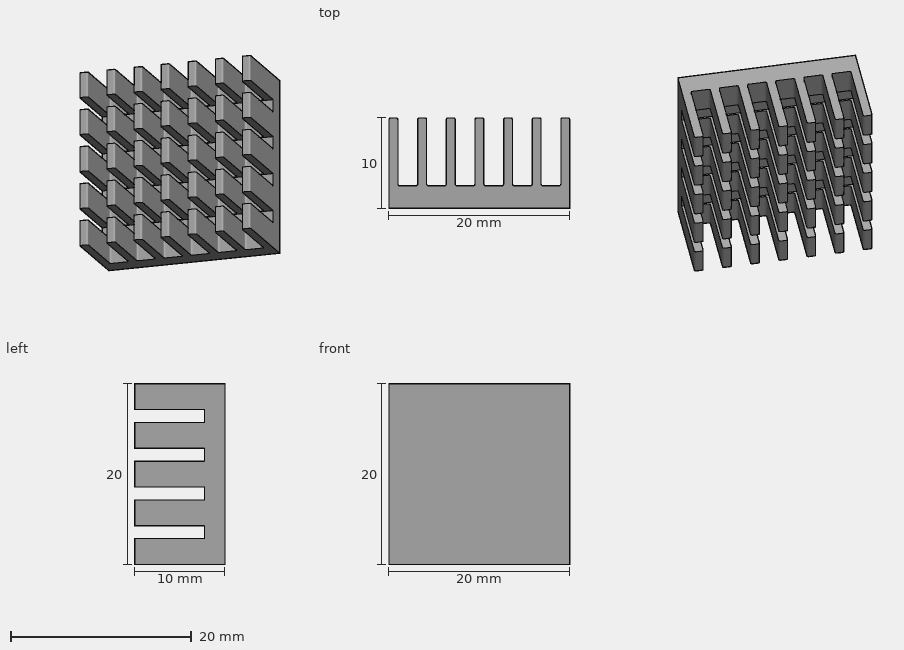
import cadquery as cq

width = 20.0
depth = 10.0
height = 20.0

fin_count = 7
fin_thickness = 1.0
base_thickness = 2.5
tip_radius = 0.2
root_radius = 0.2
fin_pitch = (width - fin_thickness) / (fin_count - 1)
fin_gap = fin_pitch - fin_thickness

row_count = 5
crosscut_floor = 2.3
cut_count = row_count - 1
cut_height = 1.4
row_height = (height - cut_count * cut_height) / row_count
row_pitch = row_height + cut_height


def corner_box(size_x, size_y, size_z):
    """Box with its minimum corner at the origin."""
    return cq.Workplane("XY").box(size_x, size_y, size_z, centered=False)


def finned_block():
    """Block with full-height grooves, leaving fins with rounded roots and tips."""
    block = corner_box(width, depth, height)
    groove = corner_box(fin_gap, depth - base_thickness, height)
    groove = groove.edges("|Z and <Y").fillet(root_radius)
    for index in range(fin_count - 1):
        groove_start = fin_thickness + index * fin_pitch
        block = block.cut(groove.translate((groove_start, base_thickness, 0)))
    return block.faces(">Y").edges("|Z").fillet(tip_radius)


def cut_rows(block):
    """Cut across all fins, slightly into the base below the groove floors."""
    crosscut = corner_box(width, depth - crosscut_floor, cut_height)
    for index in range(cut_count):
        cut_start = row_height + index * row_pitch
        block = block.cut(crosscut.translate((0, crosscut_floor, cut_start)))
    return block


result = cut_rows(finned_block())